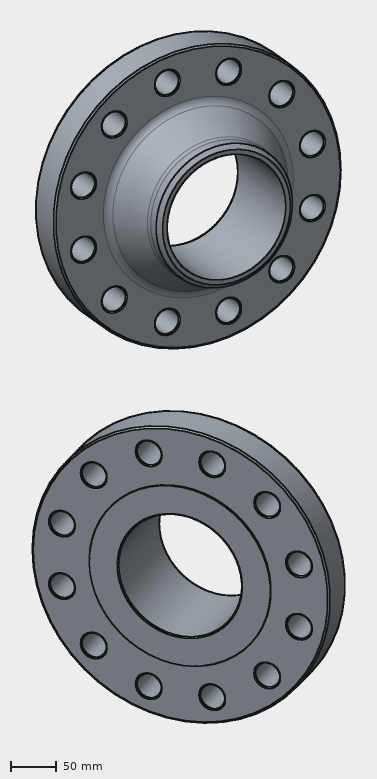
import cadquery as cq
import math

total_length = 119.0
flange_diameter = 355.0
raised_face_diameter = 216.0
raised_face_height = 2.0
flange_back = 49.5
rim_chamfer = 2.0

hub_root_diameter = 222.2
neck_diameter = 168.3
hub_half_angle = math.radians(29.5)
hub_blend_radius = 10.5
weld_bevel = 5.5

bore_diameter = 146.3
bore_chamfer = 1.5

bolt_hole_count = 12
bolt_circle_diameter = 292.0
bolt_hole_diameter = 28.8
bolt_hole_chamfer = 1.5

flange_radius = flange_diameter / 2
neck_radius = neck_diameter / 2
bore_radius = bore_diameter / 2


def arc_point(center, angle):
    """Point on a hub blend arc, at an angle measured from the +X direction."""
    return (
        center[0] + hub_blend_radius * math.cos(angle),
        center[1] + hub_blend_radius * math.sin(angle),
    )


def make_body():
    """Revolve the half section, in (axial, radial) coordinates, about X."""
    hub_root_radius = hub_root_diameter / 2
    slope = math.tan(hub_half_angle)
    cone_offset = hub_blend_radius / math.cos(hub_half_angle)

    root_x = flange_back + hub_blend_radius
    root_center = (root_x, hub_root_radius - hub_blend_radius * slope + cone_offset)
    root_start = math.pi
    root_end = 3 * math.pi / 2 - hub_half_angle

    neck_center_radius = neck_radius + hub_blend_radius
    neck_x = flange_back + (hub_root_radius + cone_offset - neck_center_radius) / slope
    neck_center = (neck_x, neck_center_radius)
    neck_start = root_end
    neck_end = 3 * math.pi / 2

    section = (
        cq.Workplane("XY")
        .moveTo(0, 0)
        .lineTo(0, raised_face_diameter / 2)
        .lineTo(raised_face_height, raised_face_diameter / 2)
        .lineTo(raised_face_height, flange_radius - rim_chamfer)
        .lineTo(raised_face_height + rim_chamfer, flange_radius)
        .lineTo(flange_back - rim_chamfer, flange_radius)
        .lineTo(flange_back, flange_radius - rim_chamfer)
        .lineTo(*arc_point(root_center, root_start))
        .threePointArc(
            arc_point(root_center, (root_start + root_end) / 2),
            arc_point(root_center, root_end),
        )
        .lineTo(*arc_point(neck_center, neck_start))
        .threePointArc(
            arc_point(neck_center, (neck_start + neck_end) / 2),
            arc_point(neck_center, neck_end),
        )
        .lineTo(total_length - weld_bevel, neck_radius)
        .lineTo(total_length, neck_radius - weld_bevel)
        .lineTo(total_length, 0)
        .close()
    )
    return section.revolve(360, (0, 0, 0), (1, 0, 0))


def make_bore():
    """Through bore, chamfered at the sealing face."""
    section = (
        cq.Workplane("XY")
        .moveTo(0, 0)
        .lineTo(0, bore_radius + bore_chamfer)
        .lineTo(bore_chamfer, bore_radius)
        .lineTo(total_length, bore_radius)
        .lineTo(total_length, 0)
        .close()
    )
    return section.revolve(360, (0, 0, 0), (1, 0, 0))


def make_bolt_hole():
    """Bolt hole about X, chamfered at both faces of the flange."""
    hole_radius = bolt_hole_diameter / 2
    section = (
        cq.Workplane("XY")
        .moveTo(raised_face_height, 0)
        .lineTo(raised_face_height, hole_radius + bolt_hole_chamfer)
        .lineTo(raised_face_height + bolt_hole_chamfer, hole_radius)
        .lineTo(flange_back - bolt_hole_chamfer, hole_radius)
        .lineTo(flange_back, hole_radius + bolt_hole_chamfer)
        .lineTo(flange_back, 0)
        .close()
    )
    return section.revolve(360, (0, 0, 0), (1, 0, 0))


result = make_body().cut(make_bore())

bolt_pitch = 360 / bolt_hole_count
bolt_hole = make_bolt_hole().translate((0, bolt_circle_diameter / 2, 0))
for index in range(bolt_hole_count):
    hole_angle = (index + 0.5) * bolt_pitch
    result = result.cut(bolt_hole.rotate((0, 0, 0), (1, 0, 0), hole_angle))